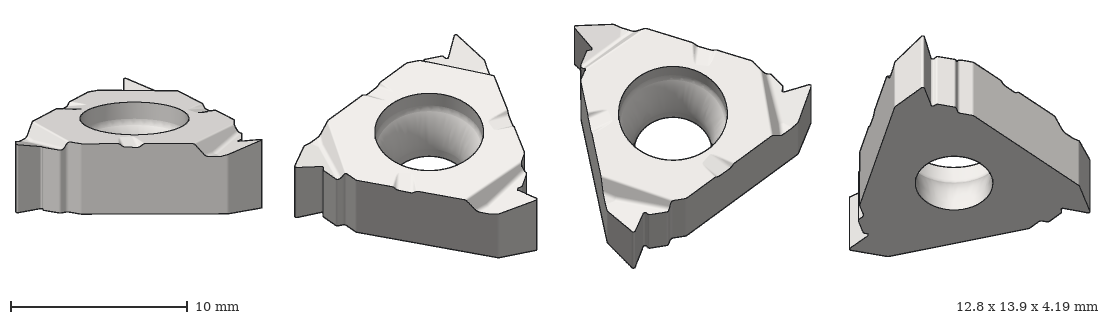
import cadquery as cq
import math

THICKNESS = 4.19
CORNER_COUNT = 3
CORNER_STEP = 360.0 / CORNER_COUNT

SIDE_DISTANCE = 4.76
SIDE = (180.0, SIDE_DISTANCE)
TOOTH_FLANK = (210.0, 6.75)
TOOTH_BACK = (331.0, 0.42)
GAP_FLOOR = (270.0, 5.86)
GAP_RELIEF = (215.0, 5.53)
CREST = (270.0, 6.07)
STEP = (330.0, 1.83)
HEEL = (270.0, 5.65)
NEXT_SIDE = (SIDE[0] + CORNER_STEP, SIDE_DISTANCE)

SIDE_ROUND = 0.28
TIP_ROUND = 0.11
GAP_ROUND = 0.04
RELIEF_ROUND = 0.11
CREST_ROUND = 0.17
HEEL_ROUND = 0.22

CORNER_EDGES = [
    (TOOTH_FLANK, SIDE_ROUND),
    (TOOTH_BACK, TIP_ROUND),
    (GAP_FLOOR, GAP_ROUND),
    (GAP_RELIEF, GAP_ROUND),
    (CREST, RELIEF_ROUND),
    (STEP, CREST_ROUND),
    (HEEL, HEEL_ROUND),
    (NEXT_SIDE, SIDE_ROUND),
]

BORE_RADIUS = 4.4 / 2
COUNTERBORE_RADIUS = 6.17 / 2
COUNTERBORE_DEPTH = 1.2
SEAT_ARC_RADIUS = 3.71
SEAT_ROUND = 0.56

TIP_REACH = 7.2
TIP_HEIGHT = 4.05
RAKE_ANGLE = 15.0
FLOOR_HEIGHT = 3.4
FLOOR_ANGLE = 4.4
WALL_DIRECTION = 238.0
WALL_DISTANCE = 5.36
WALL_ANGLE = 53.5
POCKET_ROUND = 0.31
POCKET_RIM_ROUND = 0.18
CUTTER_SIZE = 41.88

NOTCH_DEPTH = 0.21
NOTCH_FLOOR_WIDTH = 0.87
NOTCH_OFFSET = 0.22
NOTCH_HEADING = 12.5
NOTCH_RISE_ANGLE = 9.3
NOTCH_WALL_ANGLE = 40.0
NOTCH_ROUND = 0.31
NOTCH_RIM_ROUND = 0.17
NOTCH_OVERRUN = 0.7
NOTCH_CUT_LENGTH = 3.49
NOTCH_CUT_HEIGHT = 0.7
SELECTION_MARGIN = 0.01


def unit(angle):
    """Level direction at an angle from the X axis."""
    return cq.Vector(math.cos(math.radians(angle)), math.sin(math.radians(angle)), 0)


def meet(line_a, line_b):
    """Point where two straight edges cross."""
    normal_a = unit(line_a[0])
    normal_b = unit(line_b[0])
    cross = normal_a.x * normal_b.y - normal_a.y * normal_b.x
    x = (line_a[1] * normal_b.y - line_b[1] * normal_a.y) / cross
    y = (line_b[1] * normal_a.x - line_a[1] * normal_b.x) / cross
    return cq.Vector(x, y, 0)


def corner_arcs(corner_turn):
    """Start, middle and end of the rounding at every vertex of one corner."""
    arcs = []
    previous = (SIDE[0] + corner_turn, SIDE[1])
    for (direction, distance), radius in CORNER_EDGES:
        edge = (direction + corner_turn, distance)
        vertex = meet(previous, edge)
        bend = (edge[0] - previous[0] + 180) % 360 - 180
        half_bend = math.radians(abs(bend) / 2)
        tangent = radius * math.tan(half_bend)
        inset = (radius / math.cos(half_bend) - radius) * math.copysign(1, bend)
        start = vertex - unit(previous[0] + 90) * tangent
        middle = vertex - unit(previous[0] + bend / 2) * inset
        end = vertex + unit(edge[0] + 90) * tangent
        arcs.append([(point.x, point.y) for point in (start, middle, end)])
        previous = edge
    return arcs


def body():
    """Prism with the full outline of the insert."""
    arcs = [arc for i in range(CORNER_COUNT) for arc in corner_arcs(i * CORNER_STEP)]
    outline_start = arcs[-1][2]
    outline = cq.Workplane("XY").moveTo(*outline_start)
    for start, middle, end in arcs:
        outline = outline.lineTo(*start).threePointArc(middle, end)
    return outline.close().extrude(THICKNESS)


def screw_hole():
    """Solid that fills the hole through the insert."""
    arc_centre = BORE_RADIUS + SEAT_ARC_RADIUS
    seat_top = THICKNESS - COUNTERBORE_DEPTH
    seat_angle = math.acos((arc_centre - COUNTERBORE_RADIUS) / SEAT_ARC_RADIUS)
    seat_bottom = seat_top - SEAT_ARC_RADIUS * math.sin(seat_angle)
    seat_middle = (
        arc_centre - SEAT_ARC_RADIUS * math.cos(seat_angle / 2),
        seat_bottom + SEAT_ARC_RADIUS * math.sin(seat_angle / 2),
    )
    hole = (
        cq.Workplane("XZ")
        .lineTo(BORE_RADIUS, 0)
        .lineTo(BORE_RADIUS, seat_bottom)
        .threePointArc(seat_middle, (COUNTERBORE_RADIUS, seat_top))
        .lineTo(COUNTERBORE_RADIUS, THICKNESS)
        .lineTo(0, THICKNESS)
        .close()
        .revolve(360, (0, 0, 0), (0, 1, 0))
    )
    seat_edge = cq.selectors.NearestToPointSelector((0, 0, seat_top))
    return hole.edges("%CIRCLE").edges(seat_edge).fillet(SEAT_ROUND)


def space_above(point, uphill, slope):
    """Large block resting on a plane through a point that rises in the uphill direction."""
    tilt = math.radians(slope)
    normal = cq.Vector(0, 0, math.cos(tilt)) - unit(uphill) * math.sin(tilt)
    plane = cq.Plane(origin=point, xDir=normal.cross(unit(uphill)), normal=normal)
    return cq.Workplane(plane).rect(CUTTER_SIZE, CUTTER_SIZE).extrude(CUTTER_SIZE)


def chip_pocket():
    """Space above the rake face, low floor and back wall, with the creases rounded."""
    wall_top = unit(WALL_DIRECTION) * WALL_DISTANCE + cq.Vector(0, 0, THICKNESS)
    rake = space_above((0, -TIP_REACH, TIP_HEIGHT), 270, RAKE_ANGLE)
    floor = space_above((-SIDE_DISTANCE, 0, FLOOR_HEIGHT), 180, FLOOR_ANGLE)
    wall = space_above(wall_top, WALL_DIRECTION + 180, WALL_ANGLE)
    pocket = rake.intersect(floor).intersect(wall)
    return pocket.vertices("<Z").ancestors("Edge").fillet(POCKET_ROUND)


def side_notch():
    """Tapered channel entering one side, with both floor edges rounded."""
    heading = unit(NOTCH_HEADING)
    rise = math.radians(NOTCH_RISE_ANGLE)
    travel = heading * math.cos(rise) + cq.Vector(0, 0, math.sin(rise))
    entry = cq.Vector(-SIDE_DISTANCE, NOTCH_OFFSET, THICKNESS - NOTCH_DEPTH)
    plane = cq.Plane(origin=entry - travel * NOTCH_OVERRUN, xDir=unit(NOTCH_HEADING + 90), normal=travel)
    half_floor = NOTCH_FLOOR_WIDTH / 2
    half_mouth = half_floor + NOTCH_CUT_HEIGHT / math.tan(math.radians(NOTCH_WALL_ANGLE))
    profile = [
        (-half_floor, 0),
        (half_floor, 0),
        (half_mouth, NOTCH_CUT_HEIGHT),
        (-half_mouth, NOTCH_CUT_HEIGHT),
    ]
    notch = cq.Workplane(plane).polyline(profile).close().extrude(NOTCH_CUT_LENGTH)
    floor_face = cq.selectors.DirectionMinMaxSelector(plane.yDir, False)
    long_edges = cq.selectors.ParallelDirSelector(travel)
    return notch.faces(floor_face).edges(long_edges).fillet(NOTCH_ROUND)


def add_chip_pocket(insert):
    """Cut the pocket and round the top edge of its back wall."""
    insert = insert.cut(chip_pocket())
    rim_middle = unit(WALL_DIRECTION) * WALL_DISTANCE + cq.Vector(0, 0, THICKNESS)
    rim = cq.selectors.NearestToPointSelector(rim_middle.toTuple())
    return insert.edges(rim).fillet(POCKET_RIM_ROUND)


def add_side_notch(insert):
    """Cut the notch and round its top edges."""
    insert = insert.cut(side_notch())
    inner_end = NOTCH_DEPTH / math.tan(math.radians(NOTCH_RISE_ANGLE))
    box_start = (-SIDE_DISTANCE + SELECTION_MARGIN, -NOTCH_FLOOR_WIDTH, THICKNESS - SELECTION_MARGIN)
    box_end = (-SIDE_DISTANCE + inner_end, NOTCH_FLOOR_WIDTH, THICKNESS + SELECTION_MARGIN)
    return insert.edges(cq.selectors.BoxSelector(box_start, box_end)).fillet(NOTCH_RIM_ROUND)


result = body().cut(screw_hole())
for _ in range(CORNER_COUNT):
    result = add_side_notch(add_chip_pocket(result))
    result = result.rotate((0, 0, 0), (0, 0, 1), CORNER_STEP)